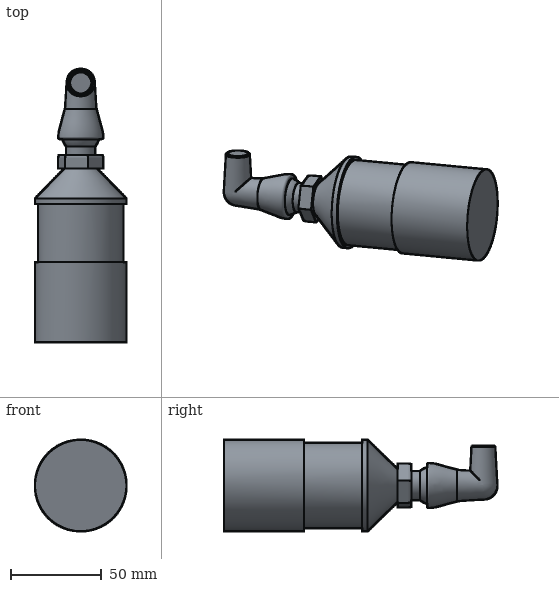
import cadquery as cq

total_length = 151.1
canister_radius = 50.8 / 2
waist_radius = 47.5 / 2
base_length = 44.3
rim_start = 76.3
rim_end = 79.3
shoulder_top_radius = 9.2

nut_start = 96.0
nut_end = 103.5
nut_corner_radius = 12.8
nut_turn = 12.0
nut_chamfer_length = 1.5
nut_chamfer_depth = 0.38
neck_radius = 16.3 / 2

ball_radius = 10.6
ball_center = 115.0
socket_start = 112.1
socket_lip_round = 1.2
socket_rim = socket_start + socket_lip_round
socket_rim_radius = 12.5
socket_bend = 120.7
socket_bend_radius = 11.0
socket_end = 128.7
socket_end_radius = 8.9

elbow_radius = 7.9
elbow_center = total_length - elbow_radius
arm_end_radius = 8.8
spout_height = 22.0
spout_tip_radius = 6.6
spout_tip_chamfer = 0.8


def make_canister():
    """Turned body with a waist, a rim and a conical shoulder."""
    profile = (
        cq.Workplane("XY")
        .lineTo(canister_radius, 0)
        .lineTo(canister_radius, base_length)
        .lineTo(waist_radius, base_length)
        .lineTo(waist_radius, rim_start)
        .lineTo(canister_radius, rim_start)
        .lineTo(canister_radius, rim_end)
        .lineTo(shoulder_top_radius, nut_start)
        .lineTo(0, nut_start)
        .close()
    )
    return profile.revolve(360, (0, 0, 0), (0, 1, 0))


def make_nut():
    """Hexagon turned about Y, with its outer edges chamfered on the neck side."""
    nut = (
        cq.Workplane("XY")
        .polygon(6, 2 * nut_corner_radius)
        .extrude(nut_end - nut_start)
        .faces("<Z")
        .chamfer(nut_chamfer_length, nut_chamfer_depth)
    )
    return (
        nut.rotate((0, 0, 0), (0, 0, 1), nut_turn)
        .rotate((0, 0, 0), (1, 0, 0), 90)
        .translate((0, nut_end, 0))
    )


def make_neck_and_ball():
    """Round neck carrying a ball that sits inside the socket."""
    neck = (
        cq.Workplane("XZ", origin=(0, nut_start, 0))
        .circle(neck_radius)
        .extrude(-(ball_center - nut_start))
    )
    ball = cq.Workplane("XY").sphere(ball_radius).translate((0, ball_center, 0))
    return neck.union(ball)


def make_socket_and_arm():
    """Bulging socket that narrows into the tapered arm of the elbow."""
    taper_direction = (socket_end_radius - socket_bend_radius, socket_end - socket_bend)
    profile = (
        cq.Workplane("XY")
        .moveTo(0, socket_start)
        .lineTo(socket_rim_radius - socket_lip_round, socket_start)
        .tangentArcPoint((socket_rim_radius, socket_rim), relative=False)
        .spline(
            [(socket_bend_radius, socket_bend)],
            tangents=[(0, 1), taper_direction],
            includeCurrent=True,
        )
        .lineTo(socket_end_radius, socket_end)
        .lineTo(arm_end_radius, socket_end)
        .lineTo(elbow_radius, elbow_center)
        .lineTo(0, elbow_center)
        .close()
    )
    return profile.revolve(360, (0, 0, 0), (0, 1, 0))


def make_spout():
    """Tapered upright spout with a chamfered tip, on a ball-shaped elbow corner."""
    spout = (
        cq.Workplane("XY", origin=(0, elbow_center, 0))
        .circle(elbow_radius)
        .workplane(offset=spout_height)
        .circle(spout_tip_radius)
        .loft(ruled=True)
        .faces(">Z")
        .chamfer(spout_tip_chamfer)
    )
    corner = cq.Workplane("XY").sphere(elbow_radius).translate((0, elbow_center, 0))
    return spout.union(corner)


result = (
    make_canister()
    .union(make_nut())
    .union(make_neck_and_ball())
    .union(make_socket_and_arm())
    .union(make_spout())
)